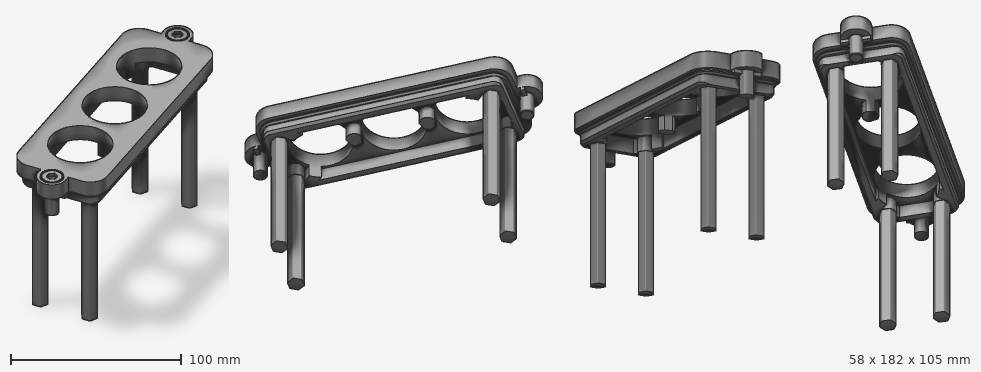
import cadquery as cq
import math

plate_width = 58.0
plate_length = 157.0
plate_thickness = 10.0
plate_corner_radius = 11.1
overall_length = 182.0
overall_height = 105.0

opening_radius = 19.1
opening_pitch = 45.0
opening_count = 3

ear_radius = 9.1
ear_y = overall_length / 2 - ear_radius
stop_depth = 2.5
stop_height = 2.4

counterbore_radius = 7.0
head_radius = 6.5
head_bevel = 0.5
head_gap_depth = 1.0
shank_diameter = 8.2
shank_bottom = -25.3
pointed_shank_bottom = -24.8
shank_tip_bevel = 0.5
socket_across_flats = 5.8
socket_depth = 2.2
socket_cone_depth = 1.5

skirt_width = 51.1
skirt_length = 146.9
skirt_bottom = -19.0
skirt_corner_radius = 5.5
skirt_bevel_width = 1.3
skirt_bevel_height = 1.8
cavity_width = 41.0
cavity_length = 139.8

leg_x = 16.2
leg_y = 65.2
leg_across_flats = 9.0
leg_edge_radius = 1.0
leg_boss_radius = 5.0

gusset_start_x = 10.4
rib_start_y = 52.2
rib_end_y = 62.0
rib_reach = 6.4

web_boss_radius = 5.0
web_boss_x = 5.6

gasket_width = 54.5
gasket_length = 152.2
gasket_height = 2.7
gasket_corner_radius = 9.1
gasket_top_bevel_width = 0.5
gasket_top_bevel_height = 1.0
gasket_bottom_bevel = 1.1

ear_positions = [(0, -ear_y), (0, ear_y)]
leg_positions = [(sx * leg_x, sy * leg_y) for sx in (-1, 1) for sy in (-1, 1)]
opening_positions = [(0, (i - (opening_count - 1) / 2) * opening_pitch) for i in range(opening_count)]
web_positions = [(web_boss_x, -opening_pitch / 2), (web_boss_x, opening_pitch / 2)]


def rounded_block(width, length, radius, top, bottom):
    """Upright block centred on Z with rounded vertical edges."""
    block = cq.Workplane().workplane(offset=bottom).rect(width, length).extrude(top - bottom)
    return block.edges("|Z").fillet(radius)


def cylinders(positions, radius, top, bottom):
    return cq.Workplane().workplane(offset=bottom).pushPoints(positions).circle(radius).extrude(top - bottom)


def make_plate():
    plate = rounded_block(plate_width, plate_length, plate_corner_radius, 0, -plate_thickness)
    plate = plate.union(cylinders(ear_positions, ear_radius, 0, -plate_thickness))
    ear_necks = cq.Workplane().rect(2 * ear_radius, 2 * ear_y).extrude(-plate_thickness)
    return plate.union(ear_necks)


def make_stop_bars():
    """Bars across the undersides of the ears."""
    bars = cq.Workplane().workplane(offset=-plate_thickness).pushPoints(ear_positions)
    return bars.rect(2 * ear_radius, stop_depth).extrude(-stop_height)


def make_skirt():
    """Rounded skirt whose long sides are bevelled at the bottom."""
    skirt = rounded_block(skirt_width, skirt_length, skirt_corner_radius, -plate_thickness, skirt_bottom)
    envelope = rounded_block(
        skirt_width,
        skirt_length + 2 * skirt_bevel_width,
        skirt_corner_radius + skirt_bevel_width,
        -plate_thickness,
        skirt_bottom,
    )
    envelope = envelope.faces("<Z").chamfer(skirt_bevel_height, skirt_bevel_width)
    skirt = skirt.intersect(envelope)
    cavity = cq.Workplane().workplane(offset=skirt_bottom).rect(cavity_width, cavity_length)
    return skirt.cut(cavity.extrude(-plate_thickness - skirt_bottom))


def repeat_in_corners(shape):
    """The shape at the +X +Y corner together with its mirror images at the other three corners."""
    pair = shape.union(shape.mirror("XZ"))
    return pair.union(pair.mirror("YZ"))


def make_gussets():
    """Gussets that fill the cavity corners behind the leg bosses."""
    side_x = cavity_width / 2
    end_y = cavity_length / 2
    outline = [(gusset_start_x, end_y), (leg_x, leg_y), (side_x, rib_end_y), (side_x, end_y)]
    gusset = cq.Workplane().workplane(offset=skirt_bottom).polyline(outline).close()
    return repeat_in_corners(gusset.extrude(-plate_thickness - skirt_bottom))


def make_ribs():
    """Ribs at 45 degrees from the side walls to the rims of the end openings."""
    side_x = cavity_width / 2
    inner_x = side_x - rib_reach
    outline = [
        (side_x, rib_start_y),
        (side_x, rib_end_y),
        (inner_x, rib_end_y - rib_reach),
        (inner_x, rib_start_y - rib_reach),
    ]
    rib = cq.Workplane().workplane(offset=skirt_bottom).polyline(outline).close()
    return repeat_in_corners(rib.extrude(-plate_thickness - skirt_bottom))


def make_legs():
    bosses = cylinders(leg_positions, leg_boss_radius, -plate_thickness, skirt_bottom)
    across_corners = leg_across_flats / math.cos(math.radians(30))
    legs = (
        cq.Workplane()
        .workplane(offset=-overall_height)
        .pushPoints(leg_positions)
        .polygon(6, across_corners)
        .extrude(overall_height + skirt_bottom)
        .edges("|Z")
        .fillet(leg_edge_radius)
    )
    return bosses.union(legs)


def make_socket(x, y):
    """Hexagon socket with a conical floor and two corners pointing along Y."""
    across_corners = socket_across_flats / math.cos(math.radians(30))
    depth = socket_depth + socket_cone_depth
    hexagon = cq.Workplane().polygon(6, across_corners).extrude(-depth).rotate((0, 0, 0), (0, 0, 1), 30)
    drill = (
        cq.Workplane("XZ")
        .lineTo(across_corners / 2, 0)
        .lineTo(across_corners / 2, -socket_depth)
        .lineTo(0, -depth)
        .close()
        .revolve(360, (0, 0, 0), (0, 1, 0))
    )
    return hexagon.intersect(drill).translate((x, y, 0))


def make_shanks():
    """Screw shanks: a plain one at the -Y ear, a shorter one with a bevelled tip at the +Y ear."""
    plain = cylinders([(0, -ear_y)], shank_diameter / 2, -plate_thickness, shank_bottom)
    pointed = cylinders([(0, ear_y)], shank_diameter / 2, -plate_thickness, pointed_shank_bottom)
    return plain.union(pointed.faces("<Z").chamfer(shank_tip_bevel))


def make_head_gaps():
    """Ring-shaped gaps between the counterbores and the bevelled screw heads."""
    heads = cylinders(ear_positions, head_radius, 0, -head_gap_depth).faces(">Z").chamfer(head_bevel)
    return cylinders(ear_positions, counterbore_radius, 0, -head_gap_depth).cut(heads)


def make_cover():
    cover = make_plate().union(make_stop_bars()).union(make_skirt())
    cover = cover.union(make_gussets()).union(make_ribs())
    cover = cover.union(cylinders(web_positions, web_boss_radius, -plate_thickness, skirt_bottom))
    cover = cover.cut(cylinders(opening_positions, opening_radius, 0, skirt_bottom))
    cover = cover.union(make_legs())
    cover = cover.union(make_shanks()).cut(make_head_gaps())
    for x, y in ear_positions:
        cover = cover.cut(make_socket(x, y))
    return cover


def make_gasket():
    """Sealing ring that fits around the skirt, bevelled on its outer edges."""
    top = -plate_thickness
    bottom = top - gasket_height
    ring = rounded_block(gasket_width, gasket_length, gasket_corner_radius, top, bottom)
    ring = ring.faces(">Z").chamfer(gasket_top_bevel_height, gasket_top_bevel_width)
    ring = ring.faces("<Z").chamfer(gasket_bottom_bevel)
    return ring.cut(rounded_block(skirt_width, skirt_length, skirt_corner_radius, top, bottom))


cover = make_cover()
gasket = make_gasket()

result = cq.Compound.makeCompound([cover.val(), gasket.val()])